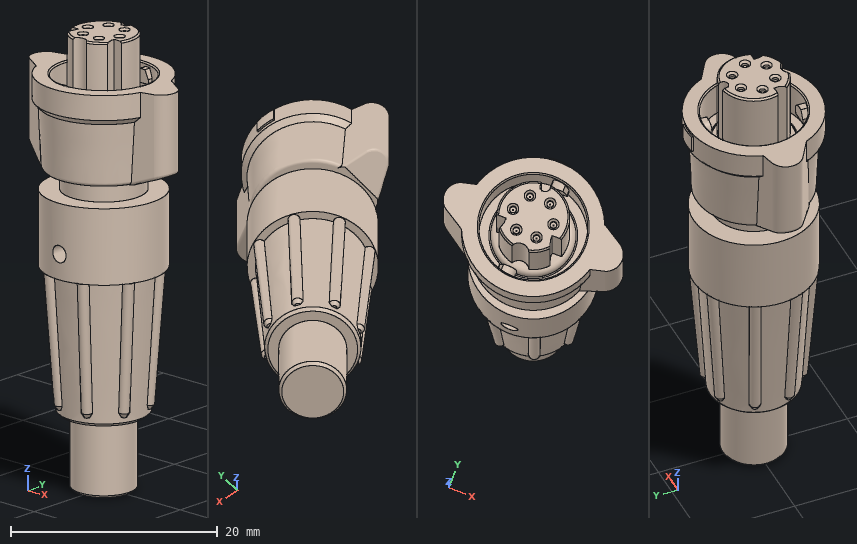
import cadquery as cq
import math

TOTAL_HEIGHT = 46.55
INSERT_PROJECTION = 4.25
NUT_HEIGHT = 9.63
NECK_GAP = 2.1
COLLAR_HEIGHT = 7.8
GRIP_HEIGHT = 15.0

NUT_TOP = TOTAL_HEIGHT - INSERT_PROJECTION
NUT_BOTTOM = NUT_TOP - NUT_HEIGHT
COLLAR_TOP = NUT_BOTTOM - NECK_GAP
COLLAR_BOTTOM = COLLAR_TOP - COLLAR_HEIGHT
GRIP_BOTTOM = COLLAR_BOTTOM - GRIP_HEIGHT

RIM_RADIUS = 6.95
RIM_HEIGHT = 2.55
RIM_TAPER_HEIGHT = 0.6
SKIRT_TOP_RADIUS = 6.37
SKIRT_BOTTOM_RADIUS = 6.07
SKIRT_EDGE_RADIUS = 0.4
BORE_RADIUS = 5.27
BORE_DEPTH = 3.6
BORE_CHAMFER = 0.15

WING_TIP = (9.24, 0)
WING_STEEP_START = (8.34, 1.54)
WING_SHALLOW_START = (8.11, -1.59)
WING_STEEP_SLOPE = 0.62
WING_SHALLOW_SLOPE = 0.25
WING_ROOT_X = 4.6
WING_SLANT_START_X = 5.8
WING_SLANT_ANGLE = 20.6
WING_EDGE_RADIUS = 0.35

MARK_WIDTH = 2.1
MARK_HEIGHT = 1.8
MARK_TOP_GAP = 0.25
MARK_RADIUS = 7.12

LUG_INNER_RADIUS = 4.4
LUG_LEAD_RADIUS = 0.92
LUG_CREST_END = 1.36
LUG_LENGTH = 1.8
LUG_TOP_GAP = 0.4
LUG_BASE_HEIGHT = 0.5

INSERT_RADIUS = 3.54
INSERT_CHAMFER = 0.18
SHOULDER_RADIUS = 4.15
SHOULDER_ROUND = 0.6
NECK_RADIUS = 4.3
NECK_TAPER_TOP = 25.35
NECK_END = COLLAR_BOTTOM

CONTACT_COUNT = 6
CONTACT_CIRCLE_RADIUS = 2.1
CONTACT_DIAMETER = 0.65
CONTACT_MOUTH_DIAMETER = 1.1
CONTACT_MOUTH_ANGLE = 90
CONTACT_DEPTH = 0.5

SMALL_KEYWAY_RADIUS = 0.5
SMALL_KEYWAY_Y = 3.2
LARGE_KEYWAY_RADIUS = 1.0
LARGE_KEYWAY_Y = -3.9
SIDE_KEYWAY_TOP_Y = -1.1
SIDE_KEYWAY_STEP_Y = -1.57
SIDE_KEYWAY_FLOOR_X = 2.4
SIDE_KEYWAY_OUTER = (2.66, -2.4)

COLLAR_RADIUS = 6.37
GRIP_TOP_RADIUS = 5.55
GRIP_BOTTOM_RADIUS = 4.65
GRIP_EDGE_CHAMFER = 0.3
RIB_COUNT = 8
RIB_RADIUS = 0.58
RIB_TOP_OFFSET = 5.75
RIB_BOTTOM_OFFSET = 4.66
RIB_END_GAP = 1.4
RIB_TIP_LENGTH = 0.5
RIB_TIP_RADIUS = 0.3
SIGHT_HOLE_DIAMETER = 1.75
SIGHT_HOLE_Z = 25.4
SIGHT_HOLE_FLOOR_Y = -3.2

CABLE_RADIUS = 3.3
CABLE_CHAMFER = 0.3


def cylinder(radius, bottom, top):
    return cq.Workplane("XY").workplane(offset=bottom).circle(radius).extrude(top - bottom)


def wing():
    """Wing on the +X side, cut off at a slant underneath."""
    steep_root_y = WING_STEEP_START[1] + WING_STEEP_SLOPE * (WING_STEEP_START[0] - WING_ROOT_X)
    shallow_root_y = WING_SHALLOW_START[1] - WING_SHALLOW_SLOPE * (WING_SHALLOW_START[0] - WING_ROOT_X)
    body = (
        cq.Workplane("XY").workplane(offset=NUT_BOTTOM)
        .moveTo(WING_ROOT_X, steep_root_y)
        .lineTo(*WING_STEEP_START)
        .threePointArc(WING_TIP, WING_SHALLOW_START)
        .lineTo(WING_ROOT_X, shallow_root_y)
        .close()
        .extrude(NUT_HEIGHT)
    )
    run = 2 * (WING_TIP[0] - WING_SLANT_START_X)
    slant_angle = math.radians(WING_SLANT_ANGLE)
    rise = run * math.tan(slant_angle)
    slant = (
        cq.Workplane("XZ")
        .moveTo(WING_SLANT_START_X, NUT_BOTTOM)
        .lineTo(WING_SLANT_START_X + run, NUT_BOTTOM)
        .lineTo(WING_SLANT_START_X + run, NUT_BOTTOM + rise)
        .close()
        .extrude(RIM_RADIUS, both=True)
    )
    body = body.cut(slant)
    slant_normal = cq.Vector(math.sin(slant_angle), 0, -math.cos(slant_angle))
    slant_edges = body.faces(cq.selectors.DirectionMinMaxSelector(slant_normal, True)).edges("not |Y")
    return slant_edges.fillet(WING_EDGE_RADIUS)


def index_mark():
    """Thin raised pad on the +Y side of the rim."""
    top = NUT_TOP - MARK_TOP_GAP
    bottom = top - MARK_HEIGHT
    window = (
        cq.Workplane("XY").workplane(offset=bottom)
        .center(0, RIM_RADIUS)
        .rect(MARK_WIDTH, 2 * (RIM_RADIUS - BORE_RADIUS))
        .extrude(MARK_HEIGHT)
    )
    return cylinder(MARK_RADIUS, bottom, top).intersect(window)


def lug():
    """Bayonet lug on the +Y side of the bore: rounded lead-in, flat crest, sloping back."""
    crest = NUT_TOP - LUG_TOP_GAP
    foot = crest - LUG_LEAD_RADIUS
    base = foot - LUG_BASE_HEIGHT
    arc_offset = LUG_LEAD_RADIUS * math.sqrt(0.5)
    profile = (
        cq.Workplane("XZ", origin=(0, LUG_INNER_RADIUS, 0))
        .moveTo(0, base)
        .lineTo(0, foot)
        .threePointArc(
            (LUG_LEAD_RADIUS - arc_offset, foot + arc_offset),
            (LUG_LEAD_RADIUS, crest),
        )
        .lineTo(LUG_CREST_END, crest)
        .lineTo(LUG_LENGTH, foot)
        .lineTo(LUG_LENGTH, base)
        .close()
        .extrude(-(RIM_RADIUS - LUG_INNER_RADIUS))
    )
    return profile.intersect(cylinder((BORE_RADIUS + RIM_RADIUS) / 2, base, crest))


def nut_cavity():
    """Chamfered bore with a flat floor, then the hole for the insert neck."""
    floor = NUT_TOP - BORE_DEPTH
    return (
        cq.Workplane("XZ")
        .moveTo(0, NUT_BOTTOM)
        .lineTo(NECK_RADIUS, NUT_BOTTOM)
        .lineTo(NECK_RADIUS, floor)
        .lineTo(BORE_RADIUS, floor)
        .lineTo(BORE_RADIUS, NUT_TOP - BORE_CHAMFER)
        .lineTo(BORE_RADIUS + BORE_CHAMFER, NUT_TOP)
        .lineTo(0, NUT_TOP)
        .close()
        .revolve(360, (0, 0, 0), (0, 1, 0))
    )


def make_nut():
    taper_top = NUT_TOP - RIM_HEIGHT
    body = (
        cq.Workplane("XZ")
        .moveTo(0, NUT_BOTTOM)
        .lineTo(SKIRT_BOTTOM_RADIUS, NUT_BOTTOM)
        .lineTo(SKIRT_TOP_RADIUS, taper_top - RIM_TAPER_HEIGHT)
        .lineTo(RIM_RADIUS, taper_top)
        .lineTo(RIM_RADIUS, NUT_TOP)
        .lineTo(0, NUT_TOP)
        .close()
        .revolve(360, (0, 0, 0), (0, 1, 0))
        .faces("<Z").edges().fillet(SKIRT_EDGE_RADIUS)
    )
    for angle in (0, 180):
        body = body.union(wing().rotate((0, 0, 0), (0, 0, 1), angle))
    body = body.union(index_mark())
    body = body.cut(nut_cavity())
    for angle in (0, 180):
        body = body.union(lug().rotate((0, 0, 0), (0, 0, 1), angle))
    return body


def insert_keyways(bottom):
    height = TOTAL_HEIGHT - bottom
    plane = cq.Workplane("XY").workplane(offset=bottom)
    small = plane.center(0, SMALL_KEYWAY_Y).circle(SMALL_KEYWAY_RADIUS).extrude(height)
    small_mouth = (
        plane.center(0, SMALL_KEYWAY_Y + INSERT_RADIUS / 2)
        .rect(2 * SMALL_KEYWAY_RADIUS, INSERT_RADIUS)
        .extrude(height)
    )
    large = plane.center(0, LARGE_KEYWAY_Y).circle(LARGE_KEYWAY_RADIUS).extrude(height)
    keyways = small.union(small_mouth).union(large)
    for side in (-1, 1):
        notch = (
            plane.moveTo(side * 2 * INSERT_RADIUS, SIDE_KEYWAY_TOP_Y)
            .lineTo(side * SIDE_KEYWAY_FLOOR_X, SIDE_KEYWAY_TOP_Y)
            .lineTo(side * SIDE_KEYWAY_FLOOR_X, SIDE_KEYWAY_STEP_Y)
            .lineTo(side * SIDE_KEYWAY_OUTER[0], SIDE_KEYWAY_OUTER[1])
            .lineTo(side * 2 * INSERT_RADIUS, SIDE_KEYWAY_OUTER[1])
            .close()
            .extrude(height)
        )
        keyways = keyways.union(notch)
    return keyways


def make_insert():
    floor = NUT_TOP - BORE_DEPTH
    shoulder_top = floor + SHOULDER_ROUND
    shoulder_inner = SHOULDER_RADIUS - SHOULDER_ROUND
    arc_offset = SHOULDER_ROUND * math.sqrt(0.5)
    plug = cylinder(INSERT_RADIUS, shoulder_top, TOTAL_HEIGHT)
    plug = plug.faces(">Z").edges().chamfer(INSERT_CHAMFER)
    plug = plug.cut(insert_keyways(shoulder_top))
    neck = (
        cq.Workplane("XZ")
        .moveTo(0, NECK_END)
        .lineTo(CABLE_RADIUS, NECK_END)
        .lineTo(NECK_RADIUS, NECK_TAPER_TOP)
        .lineTo(NECK_RADIUS, floor)
        .lineTo(SHOULDER_RADIUS, floor)
        .threePointArc((shoulder_inner + arc_offset, floor + arc_offset), (shoulder_inner, shoulder_top))
        .lineTo(0, shoulder_top)
        .close()
        .revolve(360, (0, 0, 0), (0, 1, 0))
    )
    body = neck.union(plug)
    return (
        body.faces(">Z").workplane(origin=(0, 0, TOTAL_HEIGHT))
        .polarArray(CONTACT_CIRCLE_RADIUS, 0, 360, CONTACT_COUNT)
        .cskHole(CONTACT_DIAMETER, CONTACT_MOUTH_DIAMETER, CONTACT_MOUTH_ANGLE, CONTACT_DEPTH)
    )


def rib():
    """Round rib in the +X half-plane, leaning in toward the cable and ending in a tapered tip."""
    end_z = GRIP_BOTTOM + RIB_END_GAP
    start = cq.Vector(RIB_TOP_OFFSET, 0, COLLAR_BOTTOM)
    end = cq.Vector(RIB_BOTTOM_OFFSET, 0, end_z)
    direction = end - start
    bar = cq.Solid.makeCylinder(RIB_RADIUS, direction.Length, start, direction)
    tip = cq.Solid.makeCone(RIB_RADIUS, RIB_TIP_RADIUS, RIB_TIP_LENGTH, end, direction)
    return cq.Workplane(obj=bar.fuse(tip))


def make_grip(cores):
    """Collar and ribbed taper, hollowed to fit the bodies in cores."""
    grip = (
        cq.Workplane("XZ")
        .moveTo(0, GRIP_BOTTOM)
        .lineTo(GRIP_BOTTOM_RADIUS, GRIP_BOTTOM)
        .lineTo(GRIP_TOP_RADIUS, COLLAR_BOTTOM)
        .lineTo(0, COLLAR_BOTTOM)
        .close()
        .revolve(360, (0, 0, 0), (0, 1, 0))
        .faces("<Z").edges().chamfer(GRIP_EDGE_CHAMFER)
    )
    for i in range(RIB_COUNT):
        grip = grip.union(rib().rotate((0, 0, 0), (0, 0, 1), (i + 0.5) * 360 / RIB_COUNT))
    grip = grip.union(cylinder(COLLAR_RADIUS, COLLAR_BOTTOM, COLLAR_TOP))
    sight_hole = (
        cq.Workplane("XZ", origin=(0, SIGHT_HOLE_FLOOR_Y, SIGHT_HOLE_Z))
        .circle(SIGHT_HOLE_DIAMETER / 2)
        .extrude(COLLAR_RADIUS)
    )
    grip = grip.cut(sight_hole)
    for core in cores:
        grip = grip.cut(core)
    return grip


def make_cable():
    cable = cylinder(CABLE_RADIUS, 0, NECK_END)
    return cable.faces("<Z").edges().chamfer(CABLE_CHAMFER)


nut = make_nut()
insert = make_insert()
cable = make_cable()
grip = make_grip([insert, cable])

result = cq.Compound.makeCompound([nut.val(), insert.val(), grip.val(), cable.val()])